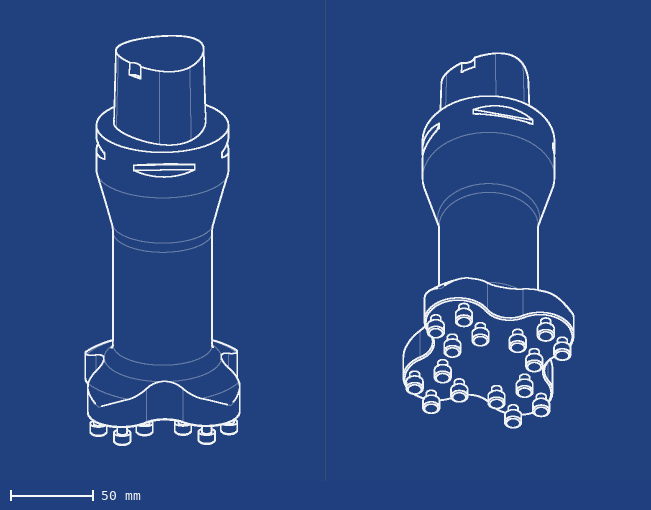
import cadquery as cq
import math

total_height = 240.0
shank_height = 48.0
flange_height = 30.0
shank_base_z = total_height - shank_height
flange_bottom_z = shank_base_z - flange_height

flange_radius = 80.0 / 2
neck_radius = 60.0 / 2
cone_angle = math.radians(15)
cone_blend_radius = 25.0

head_bottom_z = 12.5
head_radius = 113.0 / 2
lobe_radius = 20.5
lobe_offset = head_radius - lobe_radius
hollow_radius = lobe_offset - lobe_radius
head_slope = math.radians(25)
head_blend_radius = 9.4
head_blend_top_z = 46.8
shoulder_radius = 50.5
rim_z = 24.0
bottom_chamfer = 1.0

shank_mean_radius = 27.5
shank_taper = 1.2
shank_eccentricity = 2.2
corner_half_angle = 25
spline_steps = 8

keyway_radius = 6.2
keyway_depth = 8.0
keyway_floor_y = -22.0

groove_z = shank_base_z - 12.0
groove_depth = 4.5
groove_floor_width = 3.4
groove_flank_angle = math.radians(30)

screw_shank_radius = 6.0 / 2
screw_head_radius = 10.0 / 2
screw_head_height = 6.5
screw_head_chamfer = 1.0
screw_half_pitch = 9.8

quarter_turns = range(0, 360, 90)


def arc_point(center, radius, angle):
    """Point on an arc, with the angle in radians counterclockwise from the first axis."""
    return (center[0] + radius * math.cos(angle), center[1] + radius * math.sin(angle))


def make_turned_profile():
    """Flange, cone, neck and sloping head top as one revolved solid."""
    cone_start_r = neck_radius + cone_blend_radius * (1 - math.cos(cone_angle))
    cone_height = (flange_radius - cone_start_r) / math.tan(cone_angle)
    cone_start_z = flange_bottom_z - cone_height
    cone_center = (
        neck_radius + cone_blend_radius,
        cone_start_z - cone_blend_radius * math.sin(cone_angle),
    )
    cone_blend_mid = arc_point(cone_center, cone_blend_radius, math.pi - cone_angle / 2)

    head_center = (neck_radius + head_blend_radius, head_blend_top_z)
    blend_sweep = math.pi / 2 - head_slope
    head_blend_mid = arc_point(head_center, head_blend_radius, math.pi + blend_sweep / 2)
    head_blend_end = arc_point(head_center, head_blend_radius, math.pi + blend_sweep)

    shoulder_drop = (shoulder_radius - head_blend_end[0]) * math.tan(head_slope)
    shoulder_z = head_blend_end[1] - shoulder_drop

    profile = (
        cq.Workplane("XZ")
        .moveTo(0, head_bottom_z)
        .lineTo(head_radius, head_bottom_z)
        .lineTo(head_radius, rim_z)
        .tangentArcPoint((shoulder_radius, shoulder_z), relative=False)
        .lineTo(*head_blend_end)
        .threePointArc(head_blend_mid, (neck_radius, head_blend_top_z))
        .lineTo(neck_radius, cone_center[1])
        .threePointArc(cone_blend_mid, (cone_start_r, cone_start_z))
        .lineTo(flange_radius, flange_bottom_z)
        .lineTo(flange_radius, shank_base_z)
        .lineTo(0, shank_base_z)
        .close()
    )
    return profile.revolve(360, (0, 0, 0), (0, 1, 0))


def quarter_turned(x, y, degrees):
    """Point turned about the Z axis by a multiple of 90 degrees."""
    cosine = round(math.cos(math.radians(degrees)))
    sine = round(math.sin(math.radians(degrees)))
    return (x * cosine - y * sine, x * sine + y * cosine)


def make_lobe_envelope():
    """Prism with four round lobes joined by round hollows, chamfered underneath."""
    outline = cq.Workplane("XY").workplane(offset=head_bottom_z).moveTo(lobe_offset, -lobe_radius)
    hollow_mid = lobe_offset - hollow_radius * math.sqrt(0.5)
    for turn in quarter_turns:
        lobe_tip = quarter_turned(head_radius, 0, turn)
        lobe_end = quarter_turned(lobe_offset, lobe_radius, turn)
        hollow_bottom = quarter_turned(hollow_mid, hollow_mid, turn)
        hollow_end = quarter_turned(lobe_radius, lobe_offset, turn)
        outline = outline.threePointArc(lobe_tip, lobe_end).threePointArc(hollow_bottom, hollow_end)
    prism = outline.close().extrude(head_blend_top_z - head_bottom_z)
    return prism.faces("<Z").chamfer(bottom_chamfer)


def make_body():
    """Turned body whose head is trimmed to the four lobes."""
    column = (
        cq.Workplane("XY")
        .workplane(offset=head_blend_top_z)
        .circle(flange_radius)
        .extrude(shank_base_z - head_blend_top_z)
    )
    return make_turned_profile().intersect(make_lobe_envelope().union(column))


def shank_point(mean_radius, degrees, z):
    """Point on the three-cornered curve that has one corner toward +Y."""
    angle = math.radians(degrees)
    x = mean_radius * math.cos(angle) - shank_eccentricity * math.sin(2 * angle)
    y = mean_radius * math.sin(angle) - shank_eccentricity * math.cos(2 * angle)
    return cq.Vector(x, y, z)


def shank_wire(mean_radius, z):
    """Closed outline of three corners alternating with three flatter sides."""
    edges = []
    for corner in (90, 210, 330):
        stretches = (
            (corner - corner_half_angle, corner + corner_half_angle),
            (corner + corner_half_angle, corner + 120 - corner_half_angle),
        )
        for start, end in stretches:
            step = (end - start) / spline_steps
            points = [shank_point(mean_radius, start + i * step, z) for i in range(spline_steps + 1)]
            edges.append(cq.Edge.makeSpline(points))
    return cq.Wire.assembleEdges(edges)


def make_shank():
    """Tapered shank with a round keyway in its -Y side, open at the top."""
    base = shank_wire(shank_mean_radius, shank_base_z)
    top = shank_wire(shank_mean_radius - shank_taper, total_height)
    shank = cq.Workplane(cq.Solid.makeLoft([base, top], True))
    keyway = (
        cq.Workplane("XY")
        .workplane(offset=total_height - keyway_depth)
        .center(0, keyway_floor_y - keyway_radius)
        .circle(keyway_radius)
        .extrude(keyway_depth)
    )
    return shank.cut(keyway)


def make_groove():
    """Straight groove with a flat floor and flaring flanks, facing +X."""
    floor_r = flange_radius - groove_depth
    floor_half = groove_floor_width / 2
    mouth_half = floor_half + groove_depth * math.tan(groove_flank_angle)
    return (
        cq.Workplane("XZ")
        .moveTo(floor_r, groove_z - floor_half)
        .lineTo(flange_radius, groove_z - mouth_half)
        .lineTo(flange_radius, groove_z + mouth_half)
        .lineTo(floor_r, groove_z + floor_half)
        .close()
        .extrude(flange_radius, both=True)
    )


def screw_cylinders(radius, bottom_z, top_z):
    """Four equal cylinders in a square centred on the +X lobe."""
    side = 2 * screw_half_pitch
    return (
        cq.Workplane("XY")
        .workplane(offset=bottom_z)
        .center(lobe_offset, 0)
        .rect(side, side, forConstruction=True)
        .vertices()
        .circle(radius)
        .extrude(top_z - bottom_z)
    )


def make_lobe_screws():
    """Four screws, heads down, under the +X lobe."""
    heads = screw_cylinders(screw_head_radius, 0, screw_head_height)
    heads = heads.faces("<Z").chamfer(screw_head_chamfer)
    return heads.union(screw_cylinders(screw_shank_radius, screw_head_height, head_bottom_z))


result = make_body().union(make_shank())
groove = make_groove()
lobe_screws = make_lobe_screws()
for turn in quarter_turns:
    result = result.cut(groove.rotate((0, 0, 0), (0, 0, 1), turn + 45))
    result = result.union(lobe_screws.rotate((0, 0, 0), (0, 0, 1), turn))